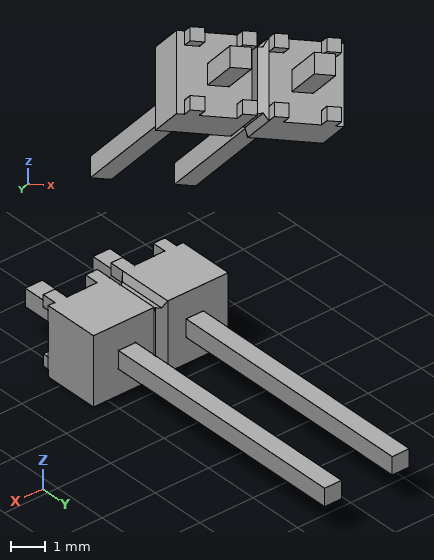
import cadquery as cq

pitch = 2.55
housing_width = 5.07
housing_height = 2.49
housing_depth = 2.03
total_length = 13.46

pin_size = 0.65
pin_front = -total_length / 2
pin_front_overhang = 2.17
housing_front = pin_front + pin_front_overhang
housing_back = housing_front + housing_depth

foot_width = 0.45
foot_height = 0.43
foot_length = 0.52
foot_spacing = 1.59

groove_half_width = 0.25
groove_depth = 0.25


def box(x_center, z_center, width, height, y_start, y_end):
    """Box centred on X and Z, running from y_start to y_end."""
    middle = (x_center, (y_start + y_end) / 2, z_center)
    return cq.Workplane("XY").box(width, y_end - y_start, height).translate(middle)


def make_pin(x_center):
    """Square pin passing through the housing."""
    return box(x_center, 0, pin_size, pin_size, pin_front, pin_front + total_length)


def v_groove(y_face, inward):
    """V-shaped cutter across the full height of the front or back face."""
    return (
        cq.Workplane("XY")
        .workplane(offset=-housing_height / 2)
        .moveTo(-groove_half_width, y_face)
        .lineTo(groove_half_width, y_face)
        .lineTo(0, y_face + inward * groove_depth)
        .close()
        .extrude(housing_height)
    )


def neck_groove(side):
    """Cutter for the flat-bottomed, slope-walled groove in the top (1) or bottom (-1) face."""
    face = side * housing_height / 2
    floor = face - side * groove_depth
    floor_half_width = groove_half_width / 2
    return (
        cq.Workplane("XZ", origin=(0, housing_back, 0))
        .moveTo(-groove_half_width, face)
        .lineTo(-floor_half_width, floor)
        .lineTo(floor_half_width, floor)
        .lineTo(groove_half_width, face)
        .close()
        .extrude(housing_depth)
    )


def make_housing():
    """Block with spacer feet on its front face and a grooved neck between the units."""
    block = box(0, 0, housing_width, housing_height, housing_front, housing_back)
    block = block.cut(v_groove(housing_front, 1)).cut(v_groove(housing_back, -1))

    for side in (-1, 1):
        block = block.cut(neck_groove(side))

    foot_z = (housing_height - foot_height) / 2
    for pin_x in (-pitch / 2, pitch / 2):
        for x_side in (-1, 1):
            for z_side in (-1, 1):
                foot = box(
                    pin_x + x_side * foot_spacing / 2,
                    z_side * foot_z,
                    foot_width,
                    foot_height,
                    housing_front - foot_length,
                    housing_front,
                )
                block = block.union(foot)
    return block


loose_pin = make_pin(pitch / 2)
housing = make_housing().cut(loose_pin).union(make_pin(-pitch / 2))

result = cq.Compound.makeCompound([housing.val(), loose_pin.val()])